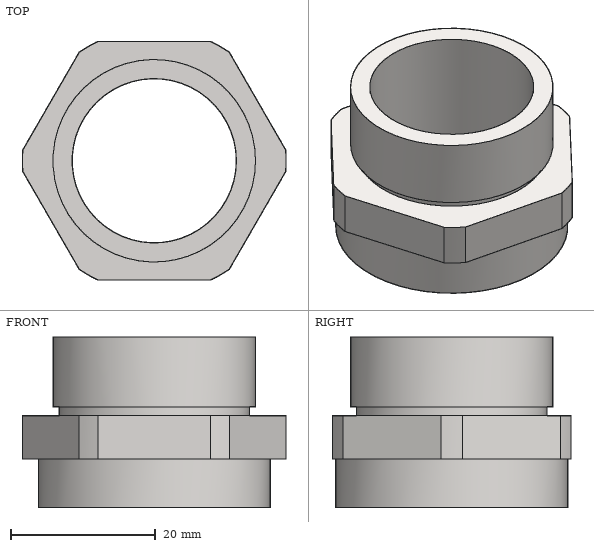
import cadquery as cq
import math

corner_diameter = 36.5
across_flats = 33.0
total_height = 23.6

base_height = 6.7
hex_height = 6.02
neck_height = 1.2
spigot_height = total_height - base_height - hex_height - neck_height

base_diameter = 32.1
neck_diameter = 26.35
spigot_diameter = 28.0
bore_diameter = 22.65


def cylinder(diameter, height, bottom):
    """Upright cylinder on the Z axis, starting at the given level."""
    return cq.Workplane("XY").workplane(offset=bottom).circle(diameter / 2).extrude(height)


def hex_collar(bottom):
    """Hexagon with two flats facing +Y and -Y and its corners turned down to a round."""
    sharp_corner_diameter = across_flats / math.cos(math.radians(30))
    hexagon = (
        cq.Workplane("XY")
        .workplane(offset=bottom)
        .polygon(6, sharp_corner_diameter)
        .extrude(hex_height)
    )
    return hexagon.intersect(cylinder(corner_diameter, hex_height, bottom))


neck_bottom = base_height + hex_height
spigot_bottom = neck_bottom + neck_height

body = (
    cylinder(base_diameter, base_height, 0)
    .union(hex_collar(base_height))
    .union(cylinder(neck_diameter, neck_height, neck_bottom))
    .union(cylinder(spigot_diameter, spigot_height, spigot_bottom))
)

result = body.cut(cylinder(bore_diameter, total_height, 0))